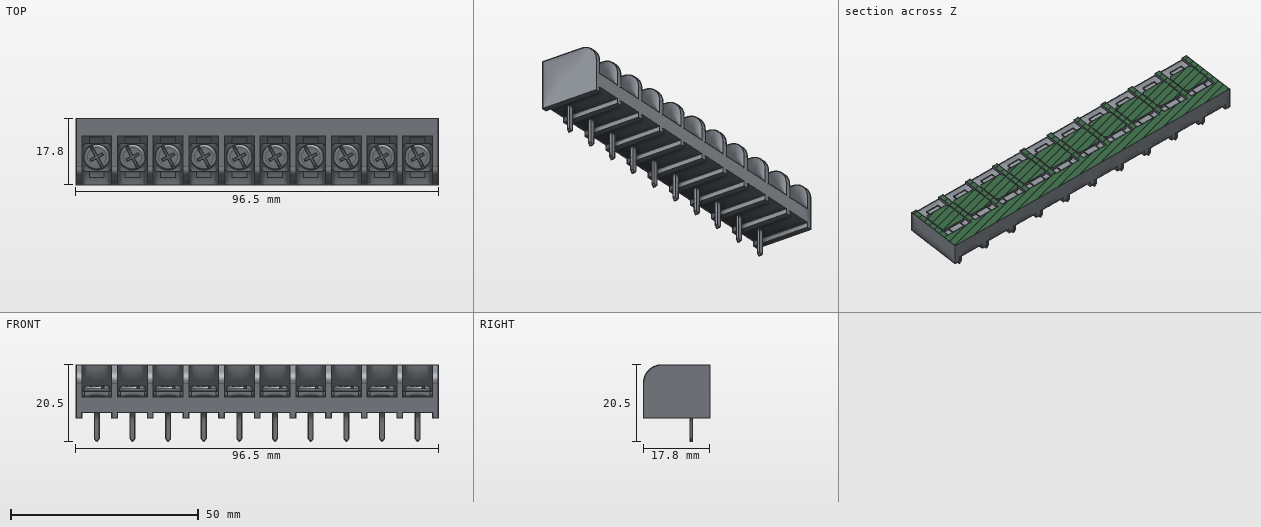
import cadquery as cq


length = 96.5
depth = 17.8
height = 14.2
cell_count = 10
wall = 1.5
pitch = (length - wall) / cell_count
cell_width = pitch - wall
cell_depth = 13.1
floor_z = 5.6
foot_height = 1.4
front_radius = 4.9

overall_height = 20.5
pin_bottom_z = height - overall_height
pin_top_z = floor_z / 2
pin_width = 1.35
pin_thickness = 0.8
pin_tip_height = 0.8

stack_y = 7.4
strip_width = 4.0
strip_length = 10.8
strip_thickness = 0.3
plate_width = 7.8
plate_length = 7.4
plate_y = 7.3
plate_thickness = 1.4
plate_top_z = floor_z + plate_thickness
plate_corner = 0.7
pin_y = cell_depth - pin_thickness / 2

neck_diameter = 3.9
neck_height = 0.2
head_diameter = 6.85
head_flat_diameter = 5.0
head_height = 1.4
head_rim_height = 0.9
rim_bulge = 0.2
slot_width = 0.7
slot_depth = 0.7
slot_angle = 118.0
cross_length = 3.7

cell_centers = [(i - (cell_count - 1) / 2) * pitch for i in range(cell_count)]


def box_from(x_size, y_size, z_size, y, z):
    """Box centred on X = 0 and on the given Y, standing on the given Z."""
    return cq.Workplane("XY").box(x_size, y_size, z_size, centered=(True, True, False)).translate((0, y, z))


def at_each_cell(shape):
    """One copy of the shape in every cell, as a list."""
    return [shape.translate((x, 0, 0)) for x in cell_centers]


def make_housing():
    """Block with a rounded front top edge, open cells above and gaps between feet below."""
    body = box_from(length, depth, height, depth / 2, 0)
    body = body.edges("|X and <Y and >Z").fillet(front_radius)
    cell = box_from(cell_width, cell_depth, height - floor_z, cell_depth / 2, floor_z)
    foot_gap = box_from(cell_width, depth, foot_height, depth / 2, 0)
    for cut in at_each_cell(cell) + at_each_cell(foot_gap):
        body = body.cut(cut)
    return body


def make_pin():
    """Flat solder pin with a pointed tip, its upper end buried in the housing."""
    half_width = pin_width / 2
    shoulder_z = pin_bottom_z + pin_tip_height
    outline = [
        (0, pin_bottom_z),
        (half_width, shoulder_z),
        (half_width, pin_top_z),
        (-half_width, pin_top_z),
        (-half_width, shoulder_z),
    ]
    pin = cq.Workplane("XZ").polyline(outline).close().extrude(pin_thickness / 2, both=True)
    return pin.translate((0, pin_y, 0))


def make_screw():
    """Head on a narrower neck, with a bulged rim, one full-width slot and a shorter slot across it."""
    radius = head_diameter / 2
    flat_radius = head_flat_diameter / 2
    rim_middle = (
        (radius + flat_radius) / 2 + rim_bulge,
        (head_rim_height + head_height) / 2 + rim_bulge,
    )
    head = (
        cq.Workplane("XZ")
        .lineTo(neck_diameter / 2, 0)
        .lineTo(neck_diameter / 2, neck_height)
        .lineTo(radius, neck_height)
        .lineTo(radius, head_rim_height)
        .threePointArc(rim_middle, (flat_radius, head_height))
        .lineTo(0, head_height)
        .close()
        .revolve(360, (0, 0, 0), (0, 1, 0))
    )
    slot_z = head_height - slot_depth
    slot = box_from(head_diameter, slot_width, slot_depth, 0, slot_z)
    cross = box_from(slot_width, cross_length, slot_depth, 0, slot_z)
    recess = slot.union(cross).rotate((0, 0, 0), (0, 0, 1), slot_angle)
    return head.cut(recess).translate((0, stack_y, plate_top_z))


def make_clamp_stack():
    """Everything stacked on one cell floor: contact strip, clamp plate and screw head."""
    strip = box_from(strip_width, strip_length, strip_thickness, stack_y, floor_z)
    plate = box_from(plate_width, plate_length, plate_thickness, plate_y, floor_z)
    plate = plate.edges("|Z").chamfer(plate_corner)
    return strip.union(plate).union(make_screw())


result = make_housing()
for part in at_each_cell(make_pin()) + at_each_cell(make_clamp_stack()):
    result = result.union(part)